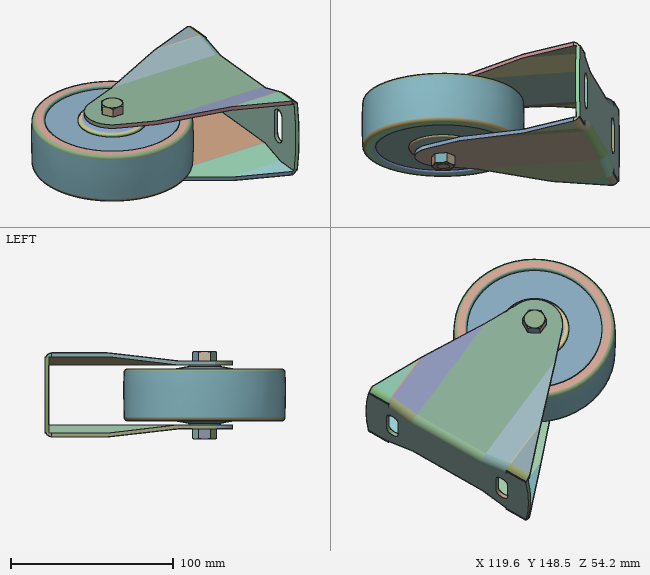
import cadquery as cq
import math


wheel_radius = 50.0
wheel_half_width = 16.0
tread_edge_radius = 49.6
tread_fillet = 2.2
tyre_inner_radius = 41.6
tyre_inner_fillet = 1.2

face_recess_depth = 1.6
core_bore = 8.2
boss_diameter = 19.5
hub_cone_top_height = 17.5
hub_ring_height = 15.9
hub_cone_base_radius = 18.5
hub_ring_radius = 20.3
hub_ring_fillet = 0.9

bolt_diameter = 8.0
hex_across_flats = 12.9
hex_chamfer_circle = 12.8
hex_chamfer_angle = math.radians(30)
head_height = 6.0
nut_height = 6.4

sheet = 2.5
plate_outer_y = 98.5
plate_half_width = 59.8
arm_half_width = 57.9
arm_tip_radius = 17.4
arm_side_angle = math.radians(22.5)
arm_inner_z_middle = 18.4
arm_inner_z_side = 23.5
joggle_start_x = 25.2
joggle_end_x = 43.2
plate_bend_radius = 4.9
axle_hole = 8.6
slot_width = 8.5
slot_length = 23.0
slot_x = 40.2

ARC_INSET = 1 - math.sqrt(0.5)

arm_outer_z_middle = arm_inner_z_middle + sheet
arm_outer_z_side = arm_inner_z_side + sheet


def joggle_angle():
    """Slope of the joggle: constant sheet thickness between its two sharp bends."""
    run = joggle_end_x - joggle_start_x
    rise = arm_inner_z_side - arm_outer_z_middle
    return math.atan2(rise, run) + math.asin(sheet / math.hypot(run, rise))


def joggled_block(middle_z, side_z, start_x, end_x, y_from, y_to):
    """Block along Y whose top and bottom follow the joggled arms."""
    upper = [(-arm_half_width, side_z), (-end_x, side_z), (-start_x, middle_z),
             (start_x, middle_z), (end_x, side_z), (arm_half_width, side_z)]
    lower = [(x, -z) for x, z in reversed(upper)]
    return (
        cq.Workplane("XZ", origin=(0, y_to, 0))
        .polyline(upper + lower).close()
        .extrude(y_to - y_from)
    )


def round_bends(block, bend_x, z):
    """Round the four outside bends at x = +-bend_x, z = +-z with the sheet thickness."""
    reach = 0.1
    for x in (-bend_x, bend_x):
        for level in (-z, z):
            box = cq.selectors.BoxSelector(
                (x - reach, -plate_outer_y, level - reach), (x + reach, plate_outer_y, level + reach)
            )
            block = block.edges(box).fillet(sheet)
    return block


def arm_outline():
    """Solid with the tapered, round-tipped outline of the arms, seen along Z."""
    tip_x = arm_tip_radius * math.cos(arm_side_angle)
    tip_y = -arm_tip_radius * math.sin(arm_side_angle)
    taper_y = tip_y + (arm_half_width - tip_x) / math.tan(arm_side_angle)
    return (
        cq.Workplane("XY", origin=(0, 0, -arm_outer_z_side))
        .moveTo(-arm_half_width, plate_outer_y)
        .lineTo(-arm_half_width, taper_y)
        .lineTo(-tip_x, tip_y)
        .threePointArc((0, -arm_tip_radius), (tip_x, tip_y))
        .lineTo(arm_half_width, taper_y)
        .lineTo(arm_half_width, plate_outer_y)
        .close()
        .extrude(2 * arm_outer_z_side)
    )


def plate_side_bulges():
    """Parts of the plate whose curved side edges reach beyond the arms."""
    return (
        cq.Workplane("XZ", origin=(0, plate_outer_y, 0))
        .moveTo(-arm_half_width, -arm_inner_z_side)
        .threePointArc((-plate_half_width, 0), (-arm_half_width, arm_inner_z_side))
        .lineTo(-joggle_end_x, arm_inner_z_side)
        .lineTo(-joggle_end_x, -arm_inner_z_side)
        .close()
        .extrude(sheet)
    )


def make_bracket():
    mitre = sheet * math.tan(joggle_angle() / 2)
    front_y = -2 * arm_tip_radius
    outside = joggled_block(
        arm_outer_z_middle, arm_outer_z_side, joggle_start_x, joggle_end_x + mitre, front_y, plate_outer_y
    )
    outside = round_bends(outside, joggle_end_x + mitre, arm_outer_z_side)
    outside = outside.faces(">Y").edges("not |Z").fillet(plate_bend_radius)
    inside = joggled_block(
        arm_inner_z_middle, arm_inner_z_side, joggle_start_x + mitre, joggle_end_x,
        front_y, plate_outer_y - sheet
    )
    inside = round_bends(inside, joggle_start_x + mitre, arm_inner_z_middle)
    bracket = outside.intersect(arm_outline()).cut(inside)
    bulge = plate_side_bulges()
    bracket = bracket.union(bulge).union(bulge.mirror("YZ"))
    axle_holes = cq.Workplane("XY").circle(axle_hole / 2).extrude(arm_outer_z_side, both=True)
    slots = (
        cq.Workplane("XZ", origin=(0, plate_outer_y, 0))
        .pushPoints([(-slot_x, 0), (slot_x, 0)])
        .slot2D(slot_length, slot_width, 90)
        .extrude(sheet)
    )
    return bracket.cut(axle_holes).cut(slots)


def make_core():
    """Flat disc with a round-edged, coned hub and an end boss on both sides."""
    web_half_width = wheel_half_width - face_recess_depth
    hub_foot_radius = hub_ring_radius + hub_ring_fillet
    upper_half = (
        cq.Workplane("XZ")
        .moveTo(core_bore / 2, 0)
        .lineTo(core_bore / 2, arm_inner_z_middle)
        .lineTo(boss_diameter / 2, arm_inner_z_middle)
        .lineTo(boss_diameter / 2, hub_cone_top_height)
        .lineTo(hub_cone_base_radius, hub_ring_height)
        .lineTo(hub_ring_radius, hub_ring_height)
        .threePointArc(
            (hub_foot_radius - hub_ring_fillet * ARC_INSET, hub_ring_height - hub_ring_fillet * ARC_INSET),
            (hub_foot_radius, hub_ring_height - hub_ring_fillet),
        )
        .lineTo(hub_foot_radius, web_half_width)
        .lineTo(tyre_inner_radius, web_half_width)
        .lineTo(tyre_inner_radius, 0)
        .close()
        .revolve(360, (0, 0, 0), (0, 1, 0))
    )
    return upper_half.union(upper_half.mirror("XY"))


def make_tyre():
    """Crowned ring around the core, rounded at its inner and outer edges."""
    inner_tangent_radius = tyre_inner_radius + tyre_inner_fillet
    inner_tangent_z = wheel_half_width - tyre_inner_fillet
    inner_mid_radius = tyre_inner_radius + tyre_inner_fillet * ARC_INSET
    inner_mid_z = wheel_half_width - tyre_inner_fillet * ARC_INSET
    outer_tangent_radius = tread_edge_radius - tread_fillet
    outer_tangent_z = wheel_half_width - tread_fillet
    outer_mid_radius = tread_edge_radius - tread_fillet * ARC_INSET
    outer_mid_z = wheel_half_width - tread_fillet * ARC_INSET
    return (
        cq.Workplane("XZ")
        .moveTo(tyre_inner_radius, -inner_tangent_z)
        .threePointArc((inner_mid_radius, -inner_mid_z), (inner_tangent_radius, -wheel_half_width))
        .lineTo(outer_tangent_radius, -wheel_half_width)
        .threePointArc((outer_mid_radius, -outer_mid_z), (tread_edge_radius, -outer_tangent_z))
        .threePointArc((wheel_radius, 0), (tread_edge_radius, outer_tangent_z))
        .threePointArc((outer_mid_radius, outer_mid_z), (outer_tangent_radius, wheel_half_width))
        .lineTo(inner_tangent_radius, wheel_half_width)
        .threePointArc((inner_mid_radius, inner_mid_z), (tyre_inner_radius, inner_tangent_z))
        .close()
        .revolve(360, (0, 0, 0), (0, 1, 0))
    )


def hex_block(height):
    """Hexagon standing on z = 0, corners on +-Y, chamfered round its top."""
    corner_diameter = hex_across_flats / math.cos(math.pi / 6)
    block = (
        cq.Workplane("XY")
        .transformed(rotate=(0, 0, 90))
        .polygon(6, corner_diameter)
        .extrude(height)
    )
    chamfer_cone = (
        cq.Workplane("XZ")
        .lineTo(hex_chamfer_circle / 2 + height / math.tan(hex_chamfer_angle), 0)
        .lineTo(hex_chamfer_circle / 2, height)
        .lineTo(0, height)
        .close()
        .revolve(360, (0, 0, 0), (0, 1, 0))
    )
    return block.intersect(chamfer_cone)


def make_bolt():
    """Hexagon bolt with its head on the upper arm, its shank ending flush with the nut."""
    shank_bottom = -(arm_outer_z_middle + nut_height)
    shank = (
        cq.Workplane("XY", origin=(0, 0, shank_bottom))
        .circle(bolt_diameter / 2)
        .extrude(arm_outer_z_middle - shank_bottom)
    )
    head = hex_block(head_height).translate((0, 0, arm_outer_z_middle))
    return head.union(shank)


def make_nut():
    """Hexagon nut under the lower arm."""
    nut = hex_block(nut_height).mirror("XY").translate((0, 0, -arm_outer_z_middle))
    thread_hole = (
        cq.Workplane("XY")
        .circle(bolt_diameter / 2)
        .extrude(-2 * arm_outer_z_side)
    )
    return nut.cut(thread_hole)


bracket = make_bracket()
core = make_core()
tyre = make_tyre()
bolt = make_bolt()
nut = make_nut()

result = cq.Compound.makeCompound([bracket.val(), core.val(), tyre.val(), bolt.val(), nut.val()])